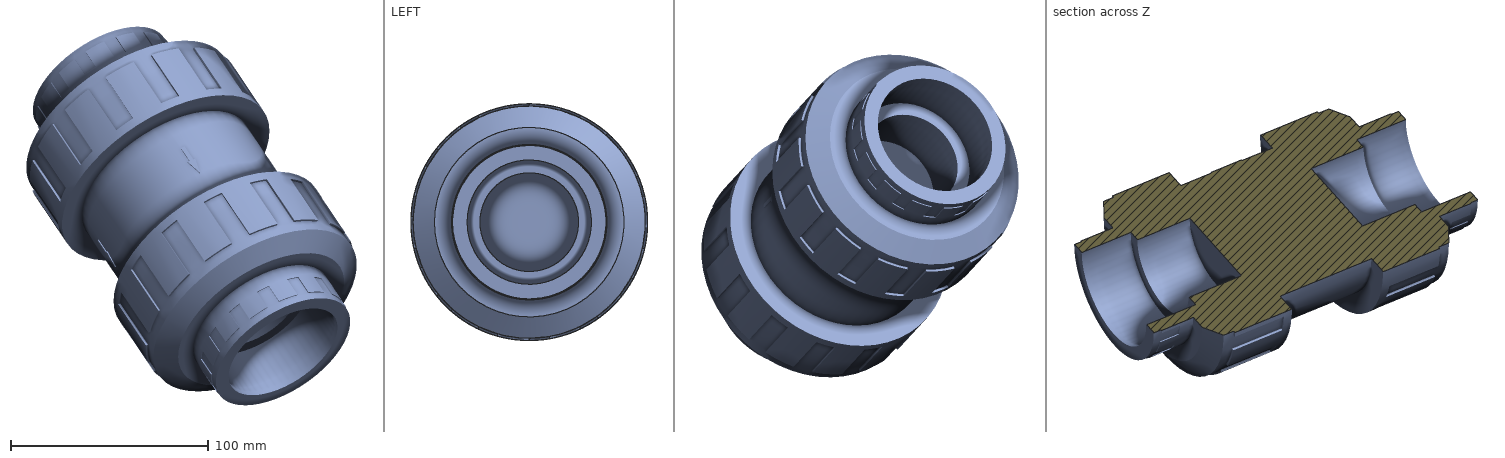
import cadquery as cq
import math

HALF_LENGTH = 96.0
SOCKET_TOOTH_TIP = 91.8
SOCKET_TOOTH_ROOT = 81.0
NUT_END = 73.0
NUT_CHAMFER_ANGLE = 30.0
NUT_TOOTH_TIP = 60.8
NUT_TOOTH_ROOT = 31.7
NUT_INNER_FACE = 27.0

BODY_DIAMETER = 97.2
NUT_DIAMETER = 117.6
NUT_TOOTH_DIAMETER = 120.0
NUT_END_DIAMETER = 96.0
SOCKET_DIAMETER = 77.75
SOCKET_TOOTH_DIAMETER = 78.75
SOCKET_BORE_DIAMETER = 63.0
PORT_DIAMETER = 50.0

SOCKET_BORE_DEPTH = 29.0
PORT_DEPTH = 60.0

TOOTH_COUNT = 14
TOOTH_PITCH = 360.0 / TOOTH_COUNT
TOOTH_ANGLE = 15.7

ARROW_TAIL_X = -9.25
ARROW_NECK_X = 0.0
ARROW_TIP_X = 9.0
ARROW_SHAFT_WIDTH = 2.2
ARROW_HEAD_WIDTH = 4.4
ARROW_HEIGHT = 0.5


def cylinder(diameter, x_start, x_end):
    """Cylinder on the X axis between two positions."""
    return cq.Workplane("YZ").workplane(offset=x_start).circle(diameter / 2).extrude(x_end - x_start)


def tooth_gap(outer_diameter, x_start, x_end, start_angle):
    """Wedge that clears the space between two teeth; the angle runs from +Z towards -Y."""
    end_angle = start_angle + TOOTH_PITCH - TOOTH_ANGLE
    corners = [(0, 0)]
    for angle in (start_angle, end_angle):
        turn = math.radians(angle)
        corners.append((-outer_diameter * math.sin(turn), outer_diameter * math.cos(turn)))
    return cq.Workplane("YZ").workplane(offset=x_start).polyline(corners).close().extrude(x_end - x_start)


def toothed_ring(base_diameter, tooth_diameter, x_tip, x_root, x_back):
    """Cylinder with a raised band from x_root to x_back and teeth reaching out to x_tip."""
    ring = cylinder(tooth_diameter, x_tip, x_back)
    for index in range(TOOTH_COUNT):
        gap_start = TOOTH_ANGLE + index * TOOTH_PITCH
        ring = ring.cut(tooth_gap(tooth_diameter, x_tip, x_root, gap_start))
    return ring.union(cylinder(base_diameter, x_tip, x_back))


def socket_end():
    """Pipe socket on the -X side, with its grip teeth."""
    plain = cylinder(SOCKET_DIAMETER, -HALF_LENGTH, -SOCKET_TOOTH_TIP)
    teeth = toothed_ring(
        SOCKET_DIAMETER, SOCKET_TOOTH_DIAMETER, -SOCKET_TOOTH_TIP, -SOCKET_TOOTH_ROOT, -NUT_END
    )
    return plain.union(teeth)


def union_nut():
    """Chamfered union nut on the -X side, with its grip teeth."""
    chamfer_height = (NUT_DIAMETER - NUT_END_DIAMETER) / 2
    chamfer_length = chamfer_height * math.tan(math.radians(NUT_CHAMFER_ANGLE))
    profile = [
        (-NUT_END, 0),
        (-NUT_END, NUT_END_DIAMETER / 2),
        (-NUT_END + chamfer_length, NUT_DIAMETER / 2),
        (-NUT_TOOTH_TIP, NUT_DIAMETER / 2),
        (-NUT_TOOTH_TIP, 0),
    ]
    plain = cq.Workplane("XY").polyline(profile).close().revolve(360, (0, 0, 0), (1, 0, 0))
    teeth = toothed_ring(
        NUT_DIAMETER, NUT_TOOTH_DIAMETER, -NUT_TOOTH_TIP, -NUT_TOOTH_ROOT, -NUT_INNER_FACE
    )
    return plain.union(teeth)


def bore():
    """Stepped bore of the -X side: pipe socket, then the narrower port."""
    socket = cylinder(SOCKET_BORE_DIAMETER, -HALF_LENGTH, -HALF_LENGTH + SOCKET_BORE_DEPTH)
    port = cylinder(PORT_DIAMETER, -HALF_LENGTH, -HALF_LENGTH + PORT_DEPTH)
    return socket.union(port)


def flow_arrow():
    """Arrow on top of the body pointing along +X, following the body's curve."""
    shaft = ARROW_SHAFT_WIDTH / 2
    head = ARROW_HEAD_WIDTH / 2
    outline = [
        (ARROW_TAIL_X, -shaft),
        (ARROW_NECK_X, -shaft),
        (ARROW_NECK_X, -head),
        (ARROW_TIP_X, 0),
        (ARROW_NECK_X, head),
        (ARROW_NECK_X, shaft),
        (ARROW_TAIL_X, shaft),
    ]
    prism = cq.Workplane("XY").polyline(outline).close().extrude(BODY_DIAMETER)
    crown = cylinder(BODY_DIAMETER + 2 * ARROW_HEIGHT, ARROW_TAIL_X, ARROW_TIP_X)
    return prism.intersect(crown)


def valve_side():
    """Everything on the -X side: socket, nut and half of the body, bored out."""
    half_body = cylinder(BODY_DIAMETER, -NUT_INNER_FACE, 0)
    return half_body.union(union_nut()).union(socket_end()).cut(bore())


side = valve_side()
result = side.union(side.rotate((0, 0, 0), (0, 0, 1), 180))

top_arrow = flow_arrow()
side_arrow = top_arrow.rotate((0, 0, 0), (1, 0, 0), 90)
result = result.union(top_arrow).union(side_arrow)